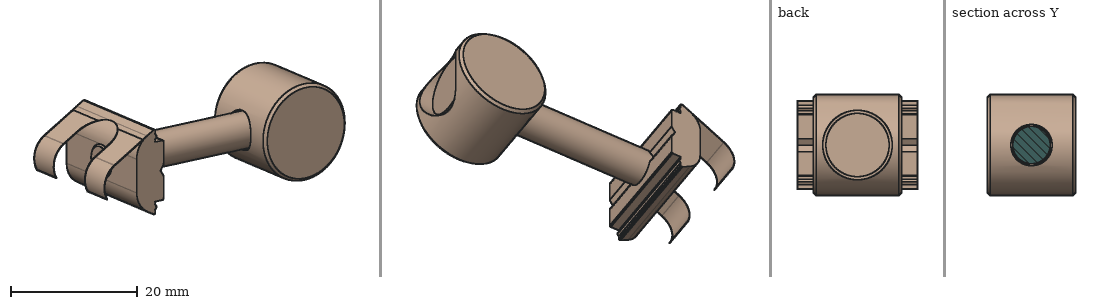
import cadquery as cq
import math


BARREL_DIAMETER = 16.0
BARREL_WIDTH = 14.03
BARREL_CHAMFER = 0.5
COUNTERBORE_DIAMETER = 11.0
CLEARANCE_DIAMETER = 6.5

SHANK_DIAMETER = 6.0
SHANK_LENGTH = 35.0
TIP_DIAMETER = 4.9
HEAD_DIAMETER = 10.0
HEAD_HEIGHT = 5.95
HEAD_SEAT_Y = 0.0

NUT_LENGTH = 19.0
NUT_HALF_HEIGHT = 7.0
NUT_BACK_Y = -29.4
NUT_FRONT_Y = -34.7
FLANGE_Y = -31.1
NECK_HALF_HEIGHT = 4.95
NECK_EDGE = 0.2
LIP_EDGE = 0.1
NOSE_HALF_FLAT = 2.8
NOSE_RADIUS = 4.0
FLANK_ANGLE = math.radians(30)
NOTCH_DEPTH = 0.65
NOTCH_HALF_HEIGHT = 1.05
RIB_Z = 5.85
RIB_HEIGHT = 0.3
RIB_HALF_WIDTH = 0.45

SPRING_THICKNESS = 0.1
SPRING_STRAIGHT = 7.3
SPRING_BEND_RADIUS = 4.0
SPRING_BEND_ANGLE = math.radians(90)
SPRING_SLOT_WIDTH = 8.45

NOSE_CENTER_Y = NUT_FRONT_Y + NOSE_RADIUS
FLANK_END_Y = NOSE_CENTER_Y - NOSE_RADIUS * math.sin(FLANK_ANGLE)
FLANK_END_Z = NOSE_HALF_FLAT + NOSE_RADIUS * math.cos(FLANK_ANGLE)


def cylinder_y(diameter, y_start, y_end):
    """Cylinder on the Y axis between two Y positions."""
    return cq.Workplane("XZ", origin=(0, y_start, 0)).circle(diameter / 2).extrude(y_start - y_end)


def extrude_x(profile):
    """Extrude a YZ profile over the full nut length, centred on X."""
    return profile.extrude(NUT_LENGTH / 2, both=True)


def make_barrel():
    barrel = cq.Workplane("YZ").circle(BARREL_DIAMETER / 2).extrude(BARREL_WIDTH / 2, both=True)
    barrel = barrel.faces("<X or >X").chamfer(BARREL_CHAMFER)
    counterbore = cylinder_y(COUNTERBORE_DIAMETER, BARREL_DIAMETER / 2, HEAD_SEAT_Y)
    clearance = cylinder_y(CLEARANCE_DIAMETER, HEAD_SEAT_Y, -BARREL_DIAMETER / 2)
    return barrel.cut(counterbore).cut(clearance)


def make_screw():
    shank = cylinder_y(SHANK_DIAMETER, HEAD_SEAT_Y, HEAD_SEAT_Y - SHANK_LENGTH)
    shank = shank.faces("<Y").chamfer((SHANK_DIAMETER - TIP_DIAMETER) / 2)
    head = cylinder_y(HEAD_DIAMETER, HEAD_SEAT_Y + HEAD_HEIGHT, HEAD_SEAT_Y)
    return head.union(shank)


def make_nut_block():
    """Symmetric nut section with a neck, flanges, rounded nose, V notch and grip ribs."""
    arc_angle = (math.pi / 2 - FLANK_ANGLE) / 2
    arc_mid_y = NOSE_CENTER_Y - NOSE_RADIUS * math.cos(arc_angle)
    arc_mid_z = NOSE_HALF_FLAT + NOSE_RADIUS * math.sin(arc_angle)
    flank_top_y = FLANK_END_Y + (NUT_HALF_HEIGHT - FLANK_END_Z) / math.tan(FLANK_ANGLE)
    upper_half = (
        cq.Workplane("YZ")
        .moveTo(NUT_BACK_Y - NOTCH_DEPTH, 0)
        .lineTo(NUT_BACK_Y, NOTCH_HALF_HEIGHT)
        .lineTo(NUT_BACK_Y, NECK_HALF_HEIGHT - NECK_EDGE)
        .lineTo(NUT_BACK_Y - NECK_EDGE, NECK_HALF_HEIGHT)
        .lineTo(FLANGE_Y, NECK_HALF_HEIGHT)
        .lineTo(FLANGE_Y, RIB_Z - RIB_HALF_WIDTH)
        .lineTo(FLANGE_Y + RIB_HEIGHT, RIB_Z)
        .lineTo(FLANGE_Y, RIB_Z + RIB_HALF_WIDTH)
        .lineTo(FLANGE_Y, NUT_HALF_HEIGHT - LIP_EDGE)
        .lineTo(FLANGE_Y - LIP_EDGE, NUT_HALF_HEIGHT)
        .lineTo(flank_top_y, NUT_HALF_HEIGHT)
        .lineTo(FLANK_END_Y, FLANK_END_Z)
        .threePointArc((arc_mid_y, arc_mid_z), (NUT_FRONT_Y, NOSE_HALF_FLAT))
        .lineTo(NUT_FRONT_Y, 0)
        .close()
    )
    upper_half = extrude_x(upper_half)
    return upper_half.union(upper_half.mirror("XY"))


def make_spring():
    """Thin forked tongue that continues the upper flank and curls down at its end."""
    straight_end_y = FLANK_END_Y - SPRING_STRAIGHT * math.cos(FLANK_ANGLE)
    straight_end_z = FLANK_END_Z - SPRING_STRAIGHT * math.sin(FLANK_ANGLE)
    bend_center_y = straight_end_y + SPRING_BEND_RADIUS * math.sin(FLANK_ANGLE)
    bend_center_z = straight_end_z - SPRING_BEND_RADIUS * math.cos(FLANK_ANGLE)

    def bend_point(radius, turned):
        normal = math.pi / 2 - FLANK_ANGLE - turned
        return (bend_center_y - radius * math.cos(normal), bend_center_z + radius * math.sin(normal))

    inner_radius = SPRING_BEND_RADIUS - SPRING_THICKNESS
    inner_start = (
        FLANK_END_Y + SPRING_THICKNESS * math.sin(FLANK_ANGLE),
        FLANK_END_Z - SPRING_THICKNESS * math.cos(FLANK_ANGLE),
    )
    sheet = (
        cq.Workplane("YZ")
        .moveTo(FLANK_END_Y, FLANK_END_Z)
        .lineTo(straight_end_y, straight_end_z)
        .threePointArc(
            bend_point(SPRING_BEND_RADIUS, SPRING_BEND_ANGLE / 2),
            bend_point(SPRING_BEND_RADIUS, SPRING_BEND_ANGLE),
        )
        .lineTo(*bend_point(inner_radius, SPRING_BEND_ANGLE))
        .threePointArc(bend_point(inner_radius, SPRING_BEND_ANGLE / 2), bend_point(inner_radius, 0))
        .lineTo(*inner_start)
        .close()
    )
    return extrude_x(sheet).cut(make_spring_slot())


def make_spring_slot():
    """Round-ended cutter square to the straight sheet, its round end touching the flank edge."""
    slot_radius = SPRING_SLOT_WIDTH / 2
    slot_reach = SPRING_STRAIGHT + 2 * SPRING_BEND_RADIUS
    slot_depth = 3 * SPRING_BEND_RADIUS
    sheet_plane = cq.Plane(
        origin=(0, FLANK_END_Y, FLANK_END_Z),
        xDir=(1, 0, 0),
        normal=(0, -math.sin(FLANK_ANGLE), math.cos(FLANK_ANGLE)),
    )
    return (
        cq.Workplane(sheet_plane)
        .moveTo(-slot_radius, -slot_radius)
        .threePointArc((0, 0), (slot_radius, -slot_radius))
        .lineTo(slot_radius, -slot_reach)
        .lineTo(-slot_radius, -slot_reach)
        .close()
        .extrude(slot_depth, both=True)
    )


def make_nut(screw):
    """Nut with its spring; the hole fits the screw closely, including its tapered tip."""
    return make_nut_block().cut(screw).union(make_spring(), clean=False)


barrel = make_barrel()
screw = make_screw()
nut = make_nut(screw)

result = cq.Compound.makeCompound([barrel.solids().val(), screw.solids().val(), nut.solids().val()])